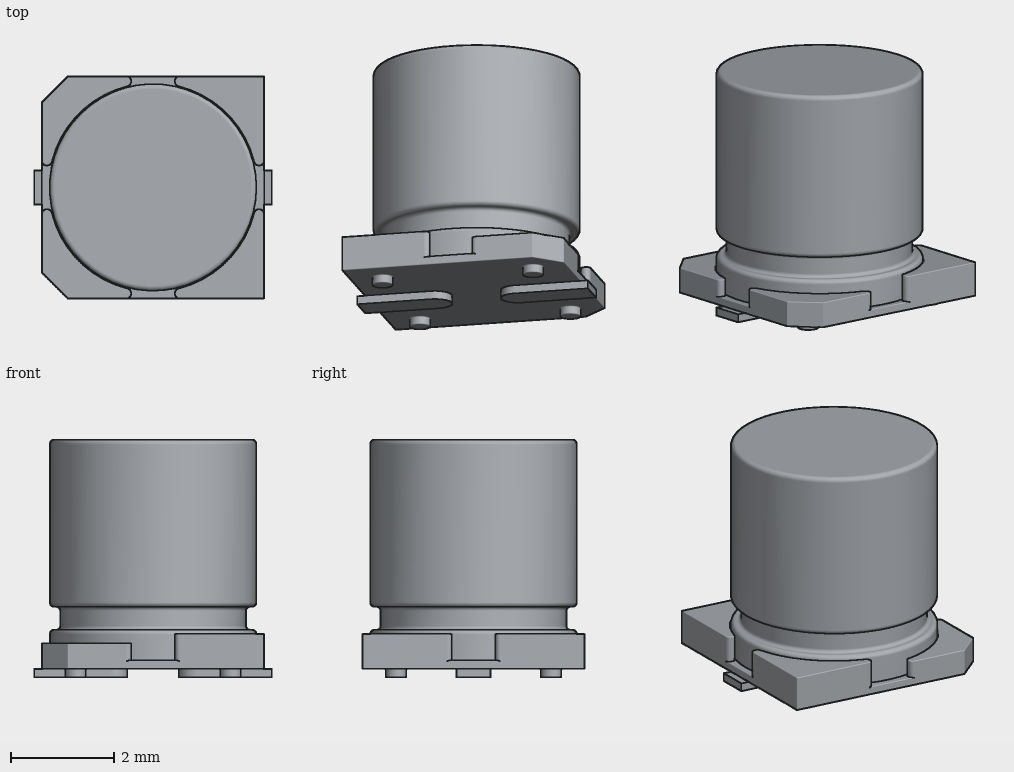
import cadquery as cq
import math

overall_length = 4.6
overall_height = 4.6

can_radius = 4.0 / 2
groove_radius = 3.6 / 2
can_top_round = 0.09
lip_round = 0.087
groove_round = 0.075
lower_lip_top = 0.92
upper_lip_bottom = 1.36

base_side = 4.3
base_half = base_side / 2
base_bottom = 0.16
notch_floor = 0.325
low_wall_top = 0.662
high_wall_top = 0.835
corner_cut = 0.5
socket_clearance = 0.02
socket_radius = can_radius + socket_clearance
notch_width = 0.845
wall_end_round = 0.09
edge_break = 0.02

terminal_width = 0.662
terminal_inner_end = 0.495
pin_radius = 0.4 / 2
pin_offset = 1.5


def base_block(bottom, top):
    """Square block with the two -X corners cut off and its upright corners slightly rounded."""
    block = cq.Workplane("XY").workplane(offset=bottom).rect(base_side, base_side).extrude(top - bottom)
    return block.edges("|Z and <X").chamfer(corner_cut).edges("|Z").fillet(edge_break)


def corner_walls(top, side):
    """The two socket walls at the +X (side = 1) or -X (side = -1) corners, with rounded ends and rims."""
    bottom = notch_floor - edge_break
    height = top - bottom
    level = cq.Workplane("XY").workplane(offset=bottom)
    socket = level.circle(socket_radius).extrude(height)
    notches = (
        level.rect(notch_width, base_side).extrude(height)
        .union(level.rect(base_side, notch_width).extrude(height))
    )
    half = level.center(side * base_half / 2, 0).rect(base_half, base_side).extrude(height)
    walls = base_block(bottom, top).intersect(half).cut(socket).cut(notches)
    reach = notch_width / 2 + wall_end_round
    near_y_notch = cq.selectors.BoxSelector((-reach, -base_side, 0), (reach, base_side, overall_height))
    near_x_notch = cq.selectors.BoxSelector((-base_side, -reach, 0), (base_side, reach, overall_height))
    walls = walls.edges("|Z").edges(near_y_notch + near_x_notch).fillet(wall_end_round)
    return walls.faces(">Z").edges().fillet(edge_break)


def make_base():
    """Slightly rounded plate with standoff pins below and corner walls above.

    The walls start low enough to cover the rounded rim of the plate.
    """
    plate = base_block(base_bottom, notch_floor).union(make_pins())
    plate = plate.edges("not |Z").fillet(edge_break)
    return plate.union(corner_walls(low_wall_top, -1)).union(corner_walls(high_wall_top, 1))


def make_can():
    """Revolved can: lower lip, crimp groove and upper barrel with rounded lips."""
    lower_groove = lower_lip_top + groove_round
    upper_groove = upper_lip_bottom - groove_round
    lower_lip = lower_lip_top - lip_round
    upper_lip = upper_lip_bottom + lip_round
    groove_edge = groove_radius + groove_round
    lip_edge = can_radius - lip_round
    lip_reach = lip_round * math.sqrt(0.5)
    groove_reach = groove_round * math.sqrt(0.5)

    lower_lip_middle = (lip_edge + lip_reach, lower_lip + lip_reach)
    lower_groove_middle = (groove_edge - groove_reach, lower_groove - groove_reach)
    upper_groove_middle = (groove_edge - groove_reach, upper_groove + groove_reach)
    upper_lip_middle = (lip_edge + lip_reach, upper_lip - lip_reach)

    profile = (
        cq.Workplane("XZ")
        .moveTo(0, notch_floor)
        .lineTo(can_radius, notch_floor)
        .lineTo(can_radius, lower_lip)
        .threePointArc(lower_lip_middle, (lip_edge, lower_lip_top))
        .lineTo(groove_edge, lower_lip_top)
        .threePointArc(lower_groove_middle, (groove_radius, lower_groove))
        .lineTo(groove_radius, upper_groove)
        .threePointArc(upper_groove_middle, (groove_edge, upper_lip_bottom))
        .lineTo(lip_edge, upper_lip_bottom)
        .threePointArc(upper_lip_middle, (can_radius, upper_lip))
        .lineTo(can_radius, overall_height)
        .lineTo(0, overall_height)
        .close()
    )
    return profile.revolve(360, (0, 0), (0, 1)).faces(">Z").edges().fillet(can_top_round)


def make_terminal(side):
    """Flat terminal reaching past the base, with a fully rounded inner end."""
    half_width = terminal_width / 2
    outer = side * overall_length / 2
    round_start = side * (terminal_inner_end + half_width)
    return (
        cq.Workplane("XY")
        .moveTo(outer, -half_width)
        .lineTo(round_start, -half_width)
        .threePointArc((side * terminal_inner_end, 0), (round_start, half_width))
        .lineTo(outer, half_width)
        .close()
        .extrude(base_bottom)
    )


def make_pins():
    """Four round standoff pins between the seating plane and the plate."""
    return (
        cq.Workplane("XY").rect(2 * pin_offset, 2 * pin_offset, forConstruction=True)
        .vertices().circle(pin_radius).extrude(base_bottom)
    )


result = make_base().union(make_can())
for side in (-1, 1):
    result = result.union(make_terminal(side))